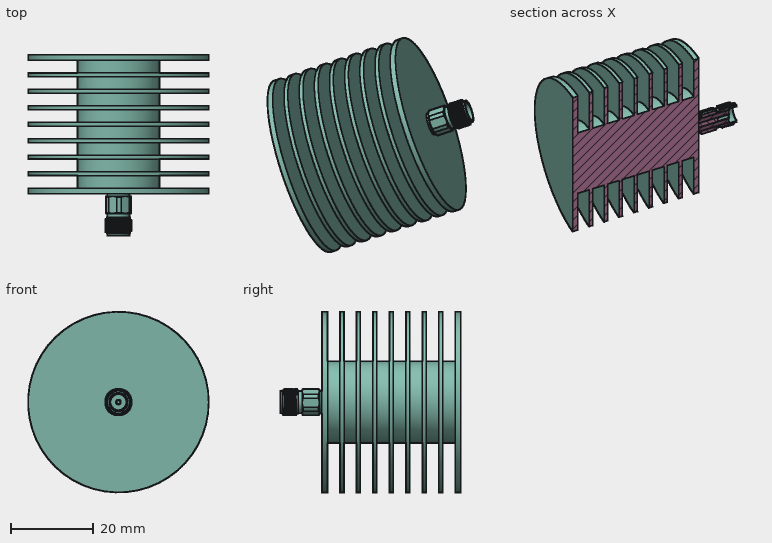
import cadquery as cq
import math

sink_length = 33.85
sink_core_radius = 10.0
fin_radius = 22.0
end_plate_thickness = 1.4
fin_thickness = 1.0
fin_count = 7
fin_gap = (sink_length - 2 * end_plate_thickness - fin_count * fin_thickness) / (fin_count + 1)

shell_length = 10.15
barrel_radius = 2.75
mouth_radius = 2.25
mouth_depth = 2.0

nut_start = 0.55
nut_end = 4.8
nut_sides = 6
nut_across_flats = 6.1
nut_radius = 3.25
nut_chamfer = 0.25
nut_rotation = 2.5

thread_start = 5.75
thread_end = 9.65
thread_pitch = 0.5
thread_crest_radius = 3.25
thread_root_radius = 2.85
thread_ridge_embed = 0.1
thread_crest_width = 0.1
thread_foot_width = 0.46
thread_start_angle = 40

insulator_radius = 1.95
contact_radius = 0.6
contact_hole_radius = 0.46
contact_hole_depth = 3.0


def cylinder(radius, start, end):
    """Cylinder on the Y axis between two distances ahead of the sink face."""
    return cq.Workplane("XZ", origin=(0, -start, 0)).circle(radius).extrude(end - start)


def make_heat_sink():
    """Core with a thick plate at each end and equally gapped fins between them."""
    sink = cylinder(sink_core_radius, -sink_length, 0)
    sink = sink.union(cylinder(fin_radius, -end_plate_thickness, 0))
    sink = sink.union(cylinder(fin_radius, -sink_length, end_plate_thickness - sink_length))
    for index in range(fin_count):
        fin_front = -end_plate_thickness - fin_gap - index * (fin_thickness + fin_gap)
        sink = sink.union(cylinder(fin_radius, fin_front - fin_thickness, fin_front))
    return sink


def make_nut():
    """Hexagonal prism whose corners are rounded down by a chamfered cylinder."""
    across_corners = nut_across_flats / math.cos(math.pi / nut_sides)
    hexagon = (
        cq.Workplane("XZ", origin=(0, -nut_start, 0))
        .transformed(rotate=(0, 0, 90 - nut_rotation))
        .polygon(nut_sides, across_corners)
        .extrude(nut_end - nut_start)
    )
    turned_blank = cylinder(nut_radius, nut_start, nut_end).faces("<Y or >Y").chamfer(nut_chamfer)
    return hexagon.intersect(turned_blank)


def make_thread():
    """Root cylinder with a right-handed helical ridge that stays within its ends."""
    helix_length = thread_end - thread_start - thread_pitch
    ridge_foot_radius = thread_root_radius - thread_ridge_embed
    helix = cq.Wire.makeHelix(thread_pitch, helix_length, thread_root_radius)
    ridge = (
        cq.Workplane("XZ")
        .polyline(
            [
                (ridge_foot_radius, -thread_foot_width / 2),
                (ridge_foot_radius, thread_foot_width / 2),
                (thread_crest_radius, thread_crest_width / 2),
                (thread_crest_radius, -thread_crest_width / 2),
            ]
        )
        .close()
        .sweep(cq.Workplane(helix), isFrenet=True)
        .rotate((0, 0, 0), (0, 0, 1), thread_start_angle)
        .rotate((0, 0, 0), (1, 0, 0), 90)
        .translate((0, -thread_start - thread_pitch / 2, 0))
    )
    return cylinder(thread_root_radius, thread_start, thread_end).union(ridge)


def make_shell():
    """Barrel carrying the nut and thread, bored for the insulator and opened at the mouth."""
    shell = cylinder(barrel_radius, 0, shell_length).union(make_nut()).union(make_thread())
    shell = shell.cut(cylinder(insulator_radius, 0, shell_length))
    return shell.cut(cylinder(mouth_radius, shell_length - mouth_depth, shell_length))


def make_insulator():
    """Sleeve between shell and contact, flush with the floor of the mouth."""
    sleeve = cylinder(insulator_radius, 0, shell_length - mouth_depth)
    return sleeve.cut(cylinder(contact_radius, 0, shell_length - mouth_depth))


def make_contact():
    """Centre socket with a blind hole in its front end."""
    tip = shell_length - mouth_depth
    return cylinder(contact_radius, 0, tip).cut(cylinder(contact_hole_radius, tip - contact_hole_depth, tip))


heat_sink = make_heat_sink()
shell = make_shell()
insulator = make_insulator()
contact = make_contact()

result = cq.Compound.makeCompound([heat_sink.val(), shell.val(), insulator.val(), contact.val()])